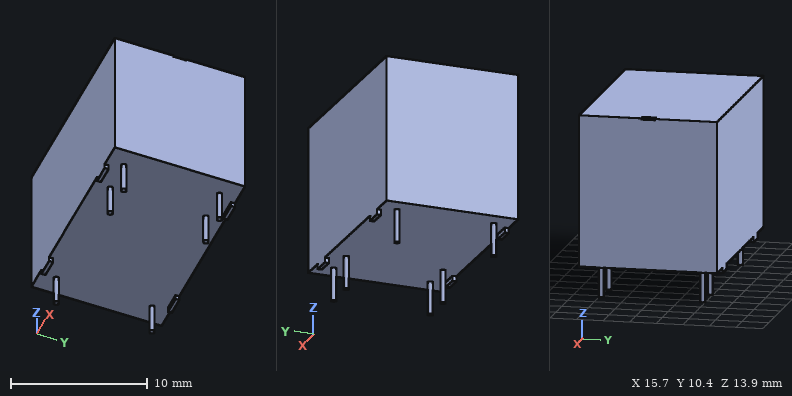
import cadquery as cq

length = 15.7
width = 10.4
overall_height = 13.94
pin_length = 2.55
housing_height = overall_height - pin_length

foot_length = 1.45
foot_depth = 0.31
foot_height = 0.4
foot_end_inset = 1.9

mark_length = 0.5
mark_width = 1.0
mark_depth = 0.1

pin_diameter = 0.4
pin_pitch = 2.55
pin_end_inset = 1.5
row_spacing = 3 * pin_pitch
row_centre_y = -0.03
last_pin_x = length / 2 - pin_end_inset
pin_xs = [pin_end_inset - length / 2, last_pin_x - pin_pitch, last_pin_x]
pin_ys = [row_centre_y - row_spacing / 2, row_centre_y + row_spacing / 2]


def make_foot(x_side, y_side):
    """Foot under the housing; each side argument is -1 or 1."""
    x = x_side * (length / 2 - foot_end_inset - foot_length / 2)
    y = y_side * (width - foot_depth) / 2
    foot = cq.Workplane("XY").box(foot_length, foot_depth, foot_height, centered=(True, True, False))
    return foot.translate((x, y, -foot_height))


def make_orientation_mark():
    """Cutter for the recess at the +X edge of the top face."""
    mark = cq.Workplane("XY").box(mark_length, mark_width, mark_depth, centered=(False, True, False))
    return mark.translate((length / 2 - mark_length, 0, housing_height - mark_depth))


def make_housing():
    """Block with four feet and the orientation mark, as one solid."""
    housing = cq.Workplane("XY").box(length, width, housing_height, centered=(True, True, False))
    for x_side in (-1, 1):
        for y_side in (-1, 1):
            housing = housing.union(make_foot(x_side, y_side))
    return housing.cut(make_orientation_mark())


def make_pin(x, y):
    """Round pin hanging from the housing underside."""
    return cq.Workplane("XY").center(x, y).circle(pin_diameter / 2).extrude(-pin_length)


housing = make_housing()

pins = []
for pin_x in pin_xs:
    for pin_y in pin_ys:
        pins.append(make_pin(pin_x, pin_y).val())

result = cq.Compound.makeCompound([housing.val(), *pins])